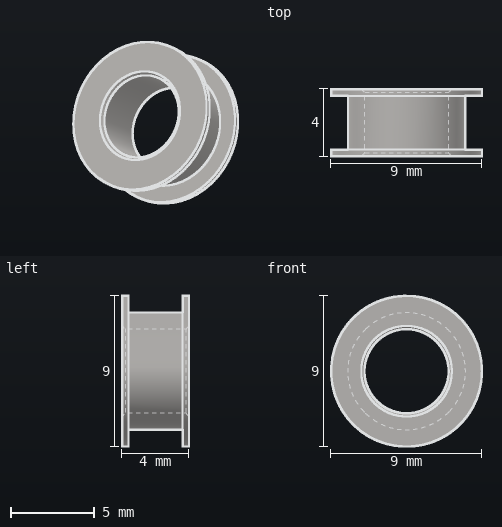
import cadquery as cq

flange_diameter = 9.0
hub_diameter = 7.0
bore_diameter = 5.0
total_width = 4.0
flange_thickness = 0.4
bore_chamfer = 0.2


def disc(diameter, start_y, width):
    """Solid cylinder along +Y, starting at start_y."""
    return cq.Workplane("XZ", origin=(0, start_y, 0)).circle(diameter / 2).extrude(-width)


half_width = total_width / 2

body = disc(hub_diameter, -half_width, total_width)
for flange_start in (-half_width, half_width - flange_thickness):
    body = body.union(disc(flange_diameter, flange_start, flange_thickness))

body = body.cut(disc(bore_diameter, -half_width, total_width))

bore_mouths = cq.selectors.RadiusNthSelector(0)
result = body.faces("<Y or >Y").edges(bore_mouths).chamfer(bore_chamfer)